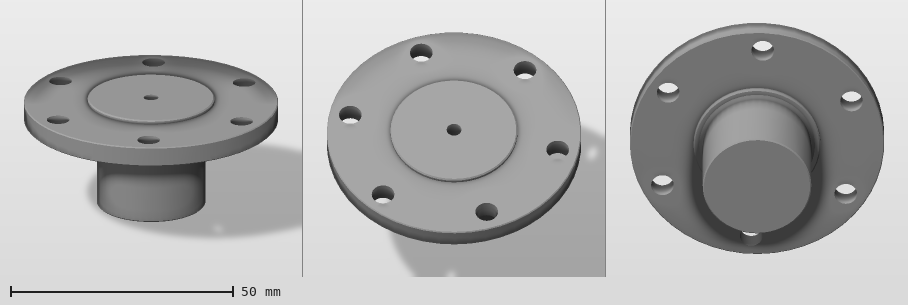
import cadquery as cq
import math

flange_diameter = 57.15
flange_thickness = 4.5
flange_chamfer = 0.25
edge_chamfer = 0.3

pad_diameter = 28.5
pad_height = 0.9
collar_height = 1.0

total_height = 25.4
spigot_diameter = 24.4
neck_height = 0.75
neck_width = 0.8

bolt_count = 6
bolt_hole_diameter = 5.1
bolt_circle_diameter = 47.6
center_hole_diameter = 3.3
center_hole_depth = 5.7
drill_tip_angle = 118.0

flange_top = total_height - pad_height
flange_bottom = flange_top - flange_thickness
collar_bottom = flange_bottom - collar_height


def disc(diameter, bottom, height):
    """Plain cylinder on the Z axis."""
    return cq.Workplane("XY").workplane(offset=bottom).circle(diameter / 2).extrude(height)


def drill_tool():
    """Blind drilled hole with a conical tip, entering from the top face."""
    radius = center_hole_diameter / 2
    tip_length = radius / math.tan(math.radians(drill_tip_angle / 2))
    shoulder = total_height - center_hole_depth
    return (
        cq.Workplane("XZ")
        .moveTo(0, total_height)
        .lineTo(radius, total_height)
        .lineTo(radius, shoulder)
        .lineTo(0, shoulder - tip_length)
        .close()
        .revolve(360, (0, 0, 0), (0, 1, 0))
    )


flange = disc(flange_diameter, flange_bottom, flange_thickness).edges().chamfer(flange_chamfer)
pad = disc(pad_diameter, flange_top, pad_height).edges(">Z").chamfer(edge_chamfer)
collar = disc(pad_diameter, collar_bottom, collar_height).edges("<Z").chamfer(edge_chamfer)
spigot = disc(spigot_diameter, 0, collar_bottom).edges("<Z").chamfer(edge_chamfer)

neck = (
    cq.Workplane("XY")
    .workplane(offset=collar_bottom - neck_height)
    .circle(spigot_diameter / 2)
    .workplane(offset=neck_height)
    .circle(spigot_diameter / 2 + neck_width)
    .loft()
)

body = flange.union(pad).union(collar).union(spigot).union(neck)

bolt_holes = (
    cq.Workplane("XY")
    .workplane(offset=flange_bottom)
    .polarArray(bolt_circle_diameter / 2, 0, 360, bolt_count)
    .circle(bolt_hole_diameter / 2)
    .extrude(flange_thickness)
)

result = body.cut(bolt_holes).cut(drill_tool())